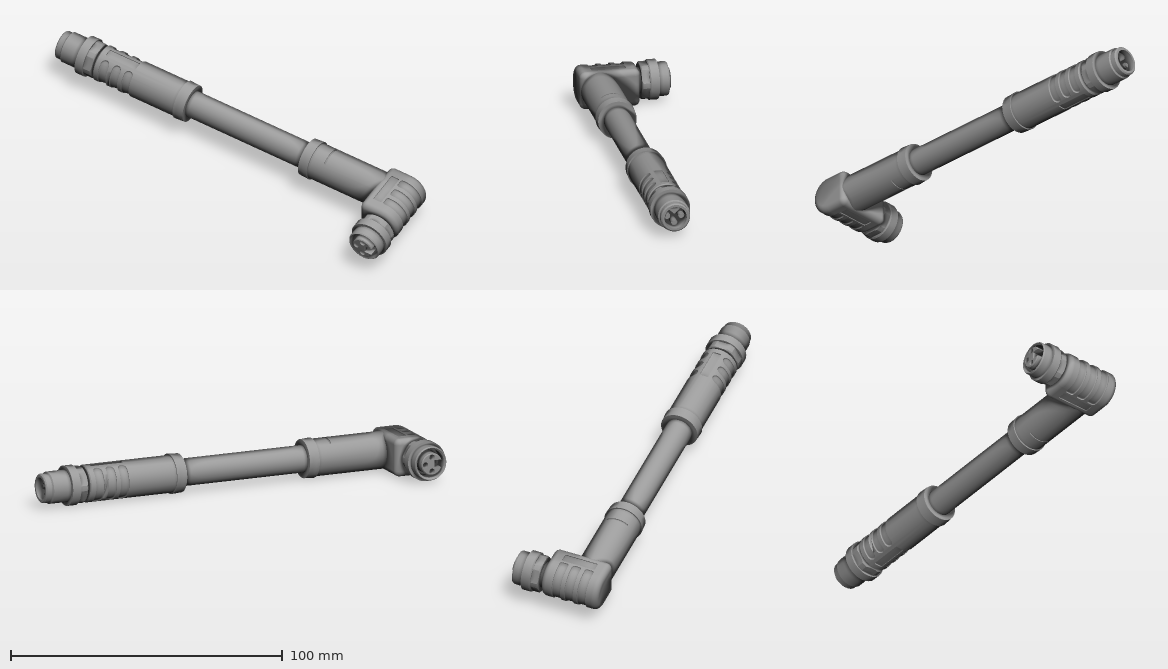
import cadquery as cq
import math

OVERALL_X = 153.5
NUT_DIAMETER = 15.0
OUTLET_X = OVERALL_X - NUT_DIAMETER / 2
OUTLET_Y = -27.7

HEX_ACROSS_FLATS = 13.0
HEX_CORNER_DIAMETER = 14.0
HEX_CHAMFER = 0.4
NECK_DIAMETER = 9.7
SLEEVE_DIAMETER = 14.0
COLLAR_DIAMETER = 15.0
COLLAR_END_DIAMETER = 14.5
PIN_CIRCLE_RADIUS = 2.65

CABLE_DIAMETER = 10.2

TIP_DIAMETER = 10.95
TIP_CHAMFER = 0.45
TIP_END = 2.5
THREAD_DIAMETER = 12.0
THREAD_START = 2.9
NUT_START = 9.9
NUT_END = 13.2
HEX_END = 16.4
GRIP_START = 17.3
GRIP_CHAMFER = 0.4
COLLAR_START = 52.1
COLLAR_END = 56.2

CHAMBER_DIAMETER = 8.35
CHAMBER_DEPTH = 7.0
PIN_DIAMETER = 1.5
PIN_BASE_DIAMETER = 2.3
PIN_BASE_LENGTH = 4.4
PIN_RECESS = 2.0
KEY_APEX_Z = 0.7
KEY_SHOULDER_Z = 2.4
KEY_HALF_WIDTH = 1.9
KEY_ROOT = 0.2
KEY_RECESS = 2.5

GRIP_PITCH = 5.0
GRIP_COUNT = 3
GRIP_SLOT_WIDTH = 3.4
GRIP_DEPTH = 0.5
GRIP_FLOOR_FILLET = 0.35
SLOT_TIP_Y = 3.0
LABEL_LENGTH = 13.0
LABEL_WIDTH = 3.4
LABEL_DEPTH = 0.3
LABEL_CORNER = 0.4
LABEL_FLOOR_Z = 6.5
STRAIGHT_GRIP_CENTER = 26.2

ANGLED_COLLAR_START = 105.9
ANGLED_COLLAR_END = 109.8
MARK_X = 115.6
MARK_WIDTH = 0.7
MARK_LENGTH = 8.3
MARK_DEPTH = 0.3

ELBOW_LEFT = 137.2
ELBOW_BACK = 7.4
ELBOW_FRONT = -15.2
ELBOW_HALF_HEIGHT = 7.2
ELBOW_FILLET = 2.2
ELBOW_GRIP_CENTER = -3.9
ELBOW_SLOT_TIP_X = OUTLET_X - 1.6
ELBOW_SLOT_CORNER = 0.85
ELBOW_LABEL_X = OUTLET_X - 4.05

INSERT_DIAMETER = 8.3
INSERT_CHAMFER = 0.3
INSERT_LEAD = 0.9
SOCKET_DIAMETER = 12.8
SOCKET_LIP_DIAMETER = 12.3
SOCKET_LIP_LENGTH = 0.5
SOCKET_MOUTH_DIAMETER = 12.0
SOCKET_BORE_DIAMETER = 10.8
SOCKET_BORE_DEPTH = 6.0
SEAL_RADIUS = 0.55
SOCKET_NUT_START = 4.9
SOCKET_NUT_END = 8.5
SOCKET_NUT_CHAMFER = 0.4
SOCKET_HEX_END = 11.4
CONTACT_HOLE_DIAMETER = 2.12
CONTACT_HOLE_DEPTH = 6.0
KEYWAY_WIDTH = 3.0
KEYWAY_INNER = 1.0
KEYWAY_DEPTH = 4.0
KEYWAY_STEP_WIDTH = 1.7
KEYWAY_STEP_CENTER = 2.45
KEYWAY_STEP_DEPTH = 5.0

OVERLAP = 1.0


def turned(profile):
    """Solid of revolution about X; profile lists (x, diameter) and is closed along the axis."""
    outline = [(x, diameter / 2) for x, diameter in profile]
    points = [(outline[0][0], 0)] + outline + [(outline[-1][0], 0)]
    return cq.Workplane("XY").polyline(points).close().revolve(360, (0, 0, 0), (1, 0, 0))


def rod(start, end, diameter):
    """Round bar along X."""
    return turned([(start, diameter), (end, diameter)])


def hexagon(start, end):
    """Hexagon along X with flats facing +/-Z, turned corners and a chamfer at its far end."""
    across_corners = HEX_ACROSS_FLATS / math.cos(math.pi / 6)
    prism = (
        cq.Workplane("YZ", origin=(start, 0, 0))
        .polygon(6, across_corners)
        .extrude(end - start)
    )
    envelope = turned([
        (start, HEX_CORNER_DIAMETER),
        (end - HEX_CHAMFER, HEX_CORNER_DIAMETER),
        (end, HEX_CORNER_DIAMETER - 2 * HEX_CHAMFER),
    ])
    return prism.intersect(envelope)


def on_contact_circle(angle):
    """Y and Z of a contact at the given angle from +Y."""
    radians = math.radians(angle)
    return PIN_CIRCLE_RADIUS * math.cos(radians), PIN_CIRCLE_RADIUS * math.sin(radians)


def grip_offsets():
    return [(i - (GRIP_COUNT - 1) / 2) * GRIP_PITCH for i in range(GRIP_COUNT)]


def contact_pin(y, z):
    base_start = CHAMBER_DEPTH - PIN_BASE_LENGTH
    pin = rod(PIN_RECESS, CHAMBER_DEPTH + OVERLAP, PIN_DIAMETER)
    base = rod(base_start, CHAMBER_DEPTH + OVERLAP, PIN_BASE_DIAMETER)
    return pin.union(base).translate((0, y, z))


def coding_key():
    """V-shaped key at the top of the male chamber, merged into the chamber wall."""
    wall_z = CHAMBER_DIAMETER / 2 + KEY_ROOT
    outline = [
        (0, KEY_APEX_Z),
        (KEY_HALF_WIDTH, KEY_SHOULDER_Z),
        (KEY_HALF_WIDTH, wall_z),
        (-KEY_HALF_WIDTH, wall_z),
        (-KEY_HALF_WIDTH, KEY_SHOULDER_Z),
    ]
    length = CHAMBER_DEPTH + OVERLAP - KEY_RECESS
    return cq.Workplane("YZ", origin=(KEY_RECESS, 0, 0)).polyline(outline).close().extrude(length)


def male_coupling():
    body = turned([
        (0, TIP_DIAMETER - 2 * TIP_CHAMFER),
        (TIP_CHAMFER, TIP_DIAMETER),
        (TIP_END, TIP_DIAMETER),
        (THREAD_START, THREAD_DIAMETER),
        (NUT_START, THREAD_DIAMETER),
        (NUT_START, NUT_DIAMETER),
        (NUT_END, NUT_DIAMETER),
        (NUT_END, NECK_DIAMETER),
        (GRIP_START + OVERLAP, NECK_DIAMETER),
    ])
    body = body.union(hexagon(NUT_END, HEX_END))
    body = body.cut(rod(0, CHAMBER_DEPTH, CHAMBER_DIAMETER))
    for angle in (0, 180, 270):
        body = body.union(contact_pin(*on_contact_circle(angle)))
    return body.union(coding_key())


def label_pocket(center_x, center_y, length_x, length_y, floor_z):
    """Pair of shallow rounded rectangles opening on the +Z and -Z sides."""
    pocket = (
        cq.Workplane("XY", origin=(center_x, center_y, floor_z))
        .rect(length_x, length_y)
        .extrude(OVERLAP)
        .edges("|Z")
        .fillet(LABEL_CORNER)
    )
    return pocket.union(pocket.mirror("XY"))


def round_slot_floors(cutters, center_x, center_y, reach_y, half_height):
    """Round the slot cutters where their walls meet the slot floor, below the outer surface."""
    reach = GRIP_COUNT * GRIP_PITCH / 2
    floor_edges = cq.selectors.BoxSelector(
        (center_x - reach, center_y - reach_y, -half_height),
        (center_x + reach, center_y + reach_y, half_height),
    )
    return cutters.edges(floor_edges).fillet(GRIP_FLOOR_FILLET)


def straight_grip_slots():
    """Slots wrapping around the +Y and -Y sides of the sleeve, with rounded ends near the top."""
    reach = SLEEVE_DIAMETER / 2 + OVERLAP
    slot_length = reach - SLOT_TIP_Y + GRIP_SLOT_WIDTH / 2
    slot_y = SLOT_TIP_Y + slot_length / 2
    centers = [
        (STRAIGHT_GRIP_CENTER + offset, side * slot_y)
        for offset in grip_offsets()
        for side in (1, -1)
    ]
    slots = (
        cq.Workplane("XY")
        .pushPoints(centers)
        .slot2D(slot_length, GRIP_SLOT_WIDTH, 90)
        .extrude(SLEEVE_DIAMETER, both=True)
    )
    core = rod(GRIP_START, COLLAR_START, SLEEVE_DIAMETER - 2 * GRIP_DEPTH)
    radius = SLEEVE_DIAMETER / 2
    return round_slot_floors(slots.cut(core), STRAIGHT_GRIP_CENTER, 0, radius, radius)


def straight_sleeve():
    sleeve = turned([
        (GRIP_START, SLEEVE_DIAMETER - 2 * GRIP_CHAMFER),
        (GRIP_START + GRIP_CHAMFER, SLEEVE_DIAMETER),
        (COLLAR_START, SLEEVE_DIAMETER),
        (COLLAR_START, COLLAR_DIAMETER),
        (COLLAR_END, COLLAR_END_DIAMETER),
    ])
    sleeve = sleeve.cut(straight_grip_slots())
    return sleeve.cut(
        label_pocket(STRAIGHT_GRIP_CENTER, 0, LABEL_LENGTH, LABEL_WIDTH, LABEL_FLOOR_Z)
    )


def angled_sleeve():
    sleeve = turned([
        (ANGLED_COLLAR_START, COLLAR_END_DIAMETER),
        (ANGLED_COLLAR_END, COLLAR_DIAMETER),
        (ANGLED_COLLAR_END, SLEEVE_DIAMETER),
        (ELBOW_LEFT + ELBOW_FILLET, SLEEVE_DIAMETER),
    ])
    mark_start = MARK_X - MARK_WIDTH / 2
    mark_end = MARK_X + MARK_WIDTH / 2
    mark = cq.Workplane("XY", origin=(MARK_X, 0, 0)).box(MARK_WIDTH, MARK_LENGTH, 2 * SLEEVE_DIAMETER)
    return sleeve.cut(mark.cut(rod(mark_start, mark_end, SLEEVE_DIAMETER - 2 * MARK_DEPTH)))


def elbow_outline(inset=0.0):
    """D-shaped section, flat on the -X side and round about the outlet axis on the +X side."""
    radius = ELBOW_HALF_HEIGHT - inset
    return (
        cq.Workplane("XZ", origin=(0, ELBOW_BACK, 0))
        .moveTo(ELBOW_LEFT, -radius)
        .lineTo(OUTLET_X, -radius)
        .threePointArc((OUTLET_X + radius, 0), (OUTLET_X, radius))
        .lineTo(ELBOW_LEFT, radius)
        .close()
        .extrude(ELBOW_BACK - ELBOW_FRONT)
    )


def elbow_grip_slots():
    """Slots wrapping around the rounded side of the elbow."""
    length = OUTLET_X + 2 * ELBOW_HALF_HEIGHT - ELBOW_SLOT_TIP_X
    centers = [(ELBOW_SLOT_TIP_X + length / 2, ELBOW_GRIP_CENTER + offset) for offset in grip_offsets()]
    slots = (
        cq.Workplane("XY")
        .pushPoints(centers)
        .rect(length, GRIP_SLOT_WIDTH)
        .extrude(2 * ELBOW_HALF_HEIGHT, both=True)
        .edges("|Z and <X")
        .fillet(ELBOW_SLOT_CORNER)
    )
    cutters = slots.cut(elbow_outline(GRIP_DEPTH))
    reach_y = GRIP_COUNT * GRIP_PITCH / 2
    return round_slot_floors(cutters, OUTLET_X, ELBOW_GRIP_CENTER, reach_y, ELBOW_HALF_HEIGHT)


def elbow():
    body = elbow_outline().edges("|Y and <X").fillet(ELBOW_FILLET)
    body = body.faces("<Y or >Y").edges().fillet(ELBOW_FILLET)
    body = body.cut(elbow_grip_slots())
    floor_z = ELBOW_HALF_HEIGHT - LABEL_DEPTH
    return body.cut(
        label_pocket(ELBOW_LABEL_X, ELBOW_GRIP_CENTER, LABEL_WIDTH, LABEL_LENGTH, floor_z)
    )


def seal_ring():
    """Round-section seal lying at the bottom of the socket gap."""
    gap_middle = (INSERT_DIAMETER + SOCKET_BORE_DIAMETER) / 4
    section = cq.Workplane("XY").center(SOCKET_BORE_DEPTH, gap_middle).circle(SEAL_RADIUS)
    return section.revolve(360, (0, -gap_middle, 0), (1, -gap_middle, 0))


def female_coupling():
    """Female plug along X with its tip at X = 0 and its stepped keyway on the +Y side."""
    elbow_face = ELBOW_FRONT - OUTLET_Y
    body = turned([
        (INSERT_LEAD, SOCKET_LIP_DIAMETER),
        (INSERT_LEAD + SOCKET_LIP_LENGTH, SOCKET_DIAMETER),
        (SOCKET_NUT_START, SOCKET_DIAMETER),
        (SOCKET_NUT_START, NUT_DIAMETER),
        (SOCKET_NUT_END - SOCKET_NUT_CHAMFER, NUT_DIAMETER),
        (SOCKET_NUT_END, NUT_DIAMETER - 2 * SOCKET_NUT_CHAMFER),
        (SOCKET_NUT_END, NECK_DIAMETER),
        (elbow_face + OVERLAP, NECK_DIAMETER),
    ])
    body = body.union(hexagon(SOCKET_NUT_END, SOCKET_HEX_END))
    mouth_end = INSERT_LEAD + (SOCKET_MOUTH_DIAMETER - SOCKET_BORE_DIAMETER) / 2
    body = body.cut(turned([
        (INSERT_LEAD, SOCKET_MOUTH_DIAMETER),
        (mouth_end, SOCKET_BORE_DIAMETER),
        (SOCKET_BORE_DEPTH, SOCKET_BORE_DIAMETER),
    ]))
    insert = turned([
        (0, INSERT_DIAMETER - 2 * INSERT_CHAMFER),
        (INSERT_CHAMFER, INSERT_DIAMETER),
        (SOCKET_BORE_DEPTH, INSERT_DIAMETER),
    ])
    body = body.union(insert).union(seal_ring())
    for angle in (90, 180, 270):
        y, z = on_contact_circle(angle)
        body = body.cut(rod(0, CONTACT_HOLE_DEPTH, CONTACT_HOLE_DIAMETER).translate((0, y, z)))
    keyway_length = INSERT_DIAMETER / 2 - KEYWAY_INNER
    keyway = cq.Workplane("XY").box(
        KEYWAY_DEPTH, keyway_length, KEYWAY_WIDTH, centered=(False, False, True)
    )
    step = cq.Workplane("XY").box(
        KEYWAY_STEP_DEPTH, KEYWAY_STEP_WIDTH, KEYWAY_STEP_WIDTH, centered=(False, True, True)
    )
    body = body.cut(keyway.translate((0, KEYWAY_INNER, 0)))
    return body.cut(step.translate((0, KEYWAY_STEP_CENTER, 0)))


def placed_female_coupling():
    """Turn the plug so that its tip points to -Y and its keyway to +X."""
    turned_plug = female_coupling().mirror("XZ").rotate((0, 0, 0), (0, 0, 1), 90)
    return turned_plug.translate((OUTLET_X, OUTLET_Y, 0))


cable = rod(COLLAR_END - OVERLAP, ANGLED_COLLAR_START + OVERLAP, CABLE_DIAMETER)

result = (
    male_coupling()
    .union(straight_sleeve())
    .union(cable)
    .union(angled_sleeve())
    .union(elbow())
    .union(placed_female_coupling())
)